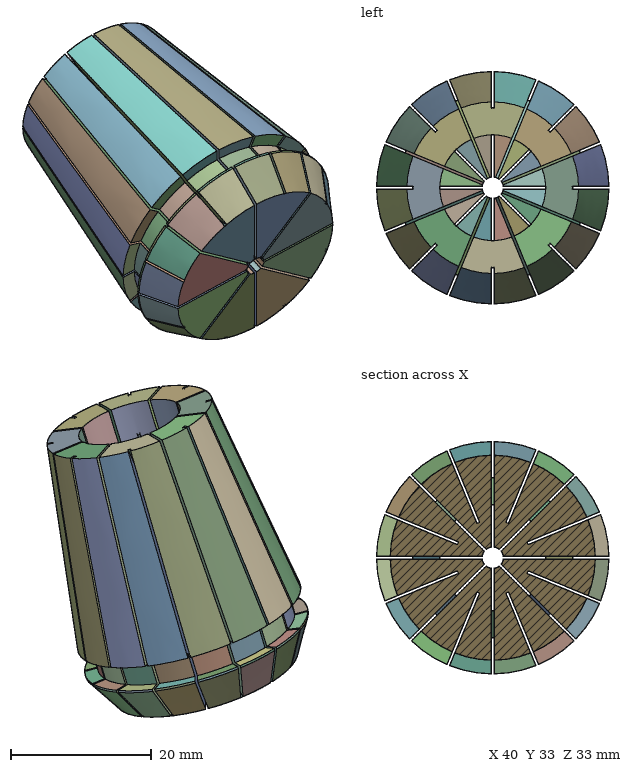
import cadquery as cq
import math

length = 40.0
rim_diameter = 33.0

body_length = 30.8
body_half_angle = 8.0
neck_end = 34.4
neck_radius = 14.55
rim_width = 0.3
head_half_angle = 30.0

relief_diameter = 15.0
relief_depth = 24.0
clamp_diameter = 3.0

slots_per_end = 8
slot_width = 0.38
saw_radius = 40.0
saw_overrun = 0.8
clearance = 4.0

rim_radius = rim_diameter / 2
relief_radius = relief_diameter / 2
clamp_radius = clamp_diameter / 2
rim_end = neck_end + rim_width
nose_radius = rim_radius - body_length * math.tan(math.radians(body_half_angle))
head_end_radius = rim_radius - (length - rim_end) * math.tan(math.radians(head_half_angle))

head_slot_floor_end = (0.0, 11.35)
head_slot_floor_bore = (4.85, relief_radius)
nose_slot_floor_end = (length, 13.4)
nose_slot_floor_bore = (25.7, clamp_radius)


def collet_blank():
    """Turned collet: tapered body, neck, tapered head and stepped bore."""
    section = [
        (0, relief_radius),
        (0, nose_radius),
        (body_length, rim_radius),
        (body_length, neck_radius),
        (neck_end, neck_radius),
        (neck_end, rim_radius),
        (rim_end, rim_radius),
        (length, head_end_radius),
        (length, clamp_radius),
        (relief_depth, clamp_radius),
        (relief_depth, relief_radius),
    ]
    return cq.Workplane("XY").polyline(section).close().revolve(360, (0, 0), (1, 0))


def saw_centre(start, end):
    """Centre of the saw, outside the collet, whose rim passes through two floor points."""
    run = end[0] - start[0]
    rise = end[1] - start[1]
    chord = math.hypot(run, rise)
    height = math.sqrt(saw_radius**2 - (chord / 2) ** 2)
    middle_x = (start[0] + end[0]) / 2
    middle_radius = (start[1] + end[1]) / 2
    return (middle_x - height * rise / chord, middle_radius + height * run / chord)


def slot_cutter(floor_end, floor_bore, open_x):
    """Radial blade that leaves a curved floor and is open toward open_x."""
    centre_x, centre_radius = saw_centre(*sorted((floor_end, floor_bore)))

    def floor_point(x):
        return (x, centre_radius - math.sqrt(saw_radius**2 - (x - centre_x) ** 2))

    inner_x = floor_bore[0] + math.copysign(saw_overrun, open_x)
    top = rim_radius + clearance
    return (
        cq.Workplane("XZ")
        .moveTo(floor_end[0], top)
        .lineTo(*floor_end)
        .threePointArc(floor_point((floor_end[0] + inner_x) / 2), floor_point(inner_x))
        .lineTo(inner_x, 0)
        .lineTo(open_x, 0)
        .lineTo(open_x, top)
        .close()
        .extrude(slot_width / 2, both=True)
    )


def cut_slots(part, cutter, first_angle):
    """Cut one ring of evenly spaced slots around the X axis."""
    for i in range(slots_per_end):
        angle = first_angle + i * 360 / slots_per_end
        part = part.cut(cutter.rotate((0, 0, 0), (1, 0, 0), angle))
    return part


head_slot = slot_cutter(head_slot_floor_end, head_slot_floor_bore, length + clearance)
nose_slot = slot_cutter(nose_slot_floor_end, nose_slot_floor_bore, -clearance)

collet = cut_slots(collet_blank(), head_slot, 0)
result = cut_slots(collet, nose_slot, 180 / slots_per_end)